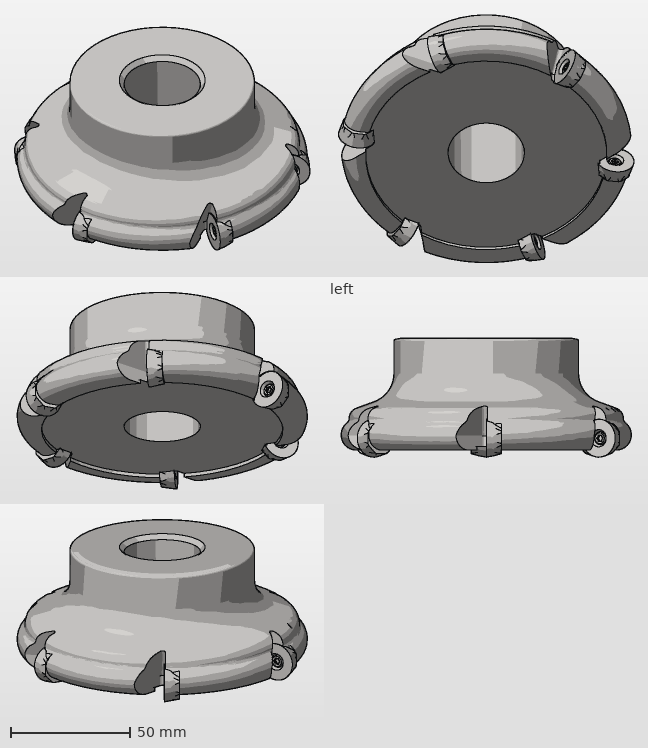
import cadquery as cq
import math

bore_radius = 16.0
bore_chamfer = 2.0
hub_radius = 77.6 / 2
crown_radius = 71.6 / 2
crown_drop = 0.4
hub_edge_fillet = 1.0
body_bottom = 3.0
body_top = 50.0
flare_start = 35.1
flare_radius = 12.5
shoulder_slope = math.radians(20)
shoulder_cone_end = 54.4
shoulder_radius = 5.0
rim_radius = 121.9 / 2
rim_round = 6.4
underside_recess_height = 4.6
underside_recess_radius = 50.6

insert_count = 6
insert_radius = 8.0
insert_thickness = 6.4
insert_relief = math.radians(10)
insert_back_radius = insert_radius - insert_thickness * math.tan(insert_relief)
tip_radius = 62.5
flat_count = 8
flat_start = 2.7
flat_depth = 0.4
recess_radius = 3.6
recess_depth = 1.4
head_radius = 2.7
head_top_radius = 2.2
head_top_depth = 0.9
socket_core_radius = 1.1
socket_lobe_radius = 0.4
socket_lobe_count = 6
socket_depth = 1.2
gullet_angle = math.radians(44)
gullet_fillet = 1.2
insert_stand_out = 0.5
gullet_floor = 47.7
gullet_bend_height = 9.0
gullet_lean = math.radians(20)
gullet_reach = 25.0


def arc_middle(center, radius, start, end):
    """Point halfway along an arc given by its centre and end angles."""
    middle = (start + end) / 2
    return (center[0] + radius * math.cos(middle), center[1] + radius * math.sin(middle))


def make_body_blank():
    right = math.pi / 2
    flare_center = (hub_radius + flare_radius, flare_start)
    flare_end = (
        flare_center[0] - flare_radius * math.sin(shoulder_slope),
        flare_center[1] - flare_radius * math.cos(shoulder_slope),
    )
    cone_drop = (shoulder_cone_end - flare_end[0]) * math.tan(shoulder_slope)
    cone_end = (shoulder_cone_end, flare_end[1] - cone_drop)
    shoulder_center = (
        cone_end[0] - shoulder_radius * math.sin(shoulder_slope),
        cone_end[1] - shoulder_radius * math.cos(shoulder_slope),
    )
    neck_radius = shoulder_center[0] + shoulder_radius
    rim_center = (rim_radius - rim_round, body_bottom + rim_round)
    offset = neck_radius - rim_center[0]
    rise = shoulder_center[1] - rim_center[1]
    neck_fillet = (offset**2 + rise**2 - rim_round**2) / (2 * (rim_round - offset))
    neck_center = (neck_radius + neck_fillet, shoulder_center[1])
    top_angle = math.atan2(rise, offset + neck_fillet)
    rim_top = (
        rim_center[0] + rim_round * math.cos(top_angle),
        rim_center[1] + rim_round * math.sin(top_angle),
    )
    edge_center = (hub_radius - hub_edge_fillet, body_top - crown_drop - hub_edge_fillet)

    outline = (
        cq.Workplane("XZ")
        .moveTo(bore_radius, underside_recess_height)
        .lineTo(underside_recess_radius, underside_recess_height)
        .lineTo(underside_recess_radius, body_bottom)
        .lineTo(rim_center[0], body_bottom)
        .threePointArc(arc_middle(rim_center, rim_round, -right, top_angle), rim_top)
        .threePointArc(
            arc_middle(neck_center, neck_fillet, math.pi, math.pi + top_angle),
            (neck_radius, shoulder_center[1]),
        )
        .threePointArc(arc_middle(shoulder_center, shoulder_radius, 0, right - shoulder_slope), cone_end)
        .lineTo(*flare_end)
        .threePointArc(
            arc_middle(flare_center, flare_radius, math.pi, 3 * right - shoulder_slope),
            (hub_radius, flare_start),
        )
        .lineTo(hub_radius, edge_center[1])
        .threePointArc(
            arc_middle(edge_center, hub_edge_fillet, 0, right),
            (edge_center[0], body_top - crown_drop),
        )
        .lineTo(crown_radius, body_top)
        .lineTo(bore_radius + bore_chamfer, body_top)
        .lineTo(bore_radius, body_top - bore_chamfer)
        .close()
    )
    return outline.revolve(360, (0, 0, 0), (0, 1, 0))


def make_gullet():
    """Chip space in front of the insert on +X: a filleted V, upright below the bend and leaning above."""
    center_x = gullet_floor + gullet_fillet
    center = (center_x, insert_stand_out - gullet_fillet)
    wall_tangent = math.radians(270) - gullet_angle
    arc_end = (
        center[0] + gullet_fillet * math.cos(wall_tangent),
        center[1] + gullet_fillet * math.sin(wall_tangent),
    )
    wall_end = (
        arc_end[0] + gullet_reach * math.cos(gullet_angle),
        arc_end[1] - gullet_reach * math.sin(gullet_angle),
    )
    profile = (
        cq.Workplane("XY", origin=(0, 0, gullet_bend_height))
        .moveTo(center_x, insert_stand_out)
        .threePointArc(arc_middle(center, gullet_fillet, math.radians(90), wall_tangent), arc_end)
        .lineTo(*wall_end)
        .lineTo(wall_end[0], insert_stand_out)
        .close()
    )
    lower = profile.extrude(-gullet_reach)
    face = cq.Face.makeFromWires(profile.wires().val())
    lean = cq.Vector(gullet_reach * math.tan(gullet_lean), 0, gullet_reach)
    upper = cq.Solid.extrudeLinear(face, lean)
    return lower.union(cq.Workplane(upper))


def place_insert(insert):
    """Move an insert from its own axes (front face at Z = 0) to its seat on +X."""
    return insert.rotate((0, 0, 0), (1, 0, 0), -90).translate((tip_radius - insert_radius, 0, insert_radius))


def make_insert_cone():
    """Plain outer shape of the insert, which its seat in the body also follows."""
    return cq.Workplane(cq.Solid.makeCone(insert_radius, insert_back_radius, insert_thickness))


def make_flat_cutter():
    """Wedge that grinds one flat into the back of the insert flank."""
    start_radius = insert_radius - flat_start * math.tan(insert_relief)
    return (
        cq.Workplane("XZ")
        .moveTo(start_radius, flat_start)
        .lineTo(insert_back_radius - flat_depth, insert_thickness)
        .lineTo(start_radius, insert_thickness)
        .close()
        .extrude(insert_back_radius / 2, both=True)
    )


def make_socket():
    """Six-lobed drive socket in the screw head."""
    depth = head_top_depth + socket_depth
    core = cq.Workplane("XY").circle(socket_core_radius).extrude(depth)
    lobes = (
        cq.Workplane("XY")
        .polarArray(socket_core_radius, 0, 360, socket_lobe_count)
        .circle(socket_lobe_radius)
        .extrude(depth)
    )
    return core.union(lobes)


def make_insert():
    """Insert with its clamping screw: a countersink, and the chamfered screw head inside it."""
    insert = make_insert_cone()
    flat_cutter = make_flat_cutter()
    for i in range(flat_count):
        insert = insert.cut(flat_cutter.rotate((0, 0, 0), (0, 0, 1), i * 360 / flat_count))
    recess = cq.Workplane(cq.Solid.makeCone(recess_radius, head_radius, recess_depth))
    head_height = recess_depth - head_top_depth
    head_base = cq.Vector(0, 0, recess_depth)
    toward_front = cq.Vector(0, 0, -1)
    head = cq.Solid.makeCone(head_radius, head_top_radius, head_height, head_base, toward_front)
    return insert.cut(recess.cut(cq.Workplane(head))).cut(make_socket())


seat = place_insert(make_insert_cone())
insert = place_insert(make_insert())
gullet = make_gullet()

body = make_body_blank()
inserts = []
for i in range(insert_count):
    turn = i * 360 / insert_count
    body = body.cut(gullet.rotate((0, 0, 0), (0, 0, 1), turn))
    body = body.cut(seat.rotate((0, 0, 0), (0, 0, 1), turn))
    inserts.append(insert.rotate((0, 0, 0), (0, 0, 1), turn).val())

result = cq.Compound.makeCompound([body.val(), *inserts])